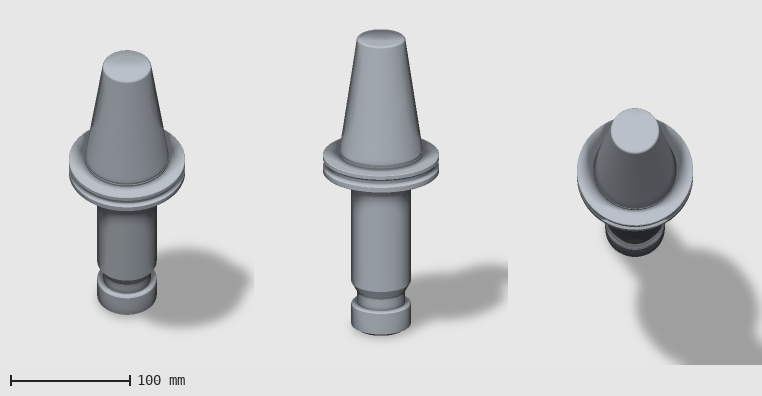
import cadquery as cq

TOTAL_HEIGHT = 261.5
NECK_BOTTOM_Z = 22.8
NECK_TOP_Z = 33.0
FLANGE_BOTTOM_Z = 140.7
FLANGE_TOP_Z = 156.5
GAUGE_Z = 160.5

SHANK_RADIUS = 50.0 / 2
NECK_RADIUS = 40.0 / 2
NECK_CONE_HEIGHT = 8.6
NUT_RADIUS = SHANK_RADIUS
NUT_NOSE_RADIUS = 40.0 / 2
NUT_NOSE_HEIGHT = 3.1
NUT_TOP_CHAMFER = 1.0
SHANK_FILLET = 2.0

FLANGE_RADIUS = 97.5 / 2
FLANGE_CHAMFER = 0.5
GROOVE_RADIUS = 91.0 / 2
GROOVE_CENTER_Z = 149.0
GROOVE_FLOOR_WIDTH = 3.5
GROOVE_MOUTH_WIDTH = 7.3
GROOVE_FLOOR_FILLET = 1.0

TAPER_RATIO = 7 / 24
GAUGE_RADIUS = 69.8 / 2
RELIEF_DEPTH = 0.8
COLLAR_HEIGHT = 1.5
TIP_FILLET = 2.0


def revolve_profile(profile):
    """Revolve a closed (radius, z) profile about the Z axis."""
    return profile.close().revolve(360, (0, 0, 0), (0, 1, 0))


def make_nut_and_shank():
    fillet_start_z = FLANGE_BOTTOM_Z - SHANK_FILLET
    profile = (
        cq.Workplane("XZ")
        .lineTo(NUT_NOSE_RADIUS, 0)
        .lineTo(NUT_RADIUS, NUT_NOSE_HEIGHT)
        .lineTo(NUT_RADIUS, NECK_BOTTOM_Z - NUT_TOP_CHAMFER)
        .lineTo(NUT_RADIUS - NUT_TOP_CHAMFER, NECK_BOTTOM_Z)
        .lineTo(NECK_RADIUS, NECK_BOTTOM_Z)
        .lineTo(NECK_RADIUS, NECK_TOP_Z)
        .lineTo(SHANK_RADIUS, NECK_TOP_Z + NECK_CONE_HEIGHT)
        .lineTo(SHANK_RADIUS, fillet_start_z)
        .radiusArc((SHANK_RADIUS + SHANK_FILLET, FLANGE_BOTTOM_Z), SHANK_FILLET)
        .lineTo(0, FLANGE_BOTTOM_Z)
    )
    return revolve_profile(profile)


def make_flange():
    height = FLANGE_TOP_Z - FLANGE_BOTTOM_Z
    disc = (
        cq.Workplane("XY", origin=(0, 0, FLANGE_BOTTOM_Z))
        .circle(FLANGE_RADIUS)
        .extrude(height)
        .edges()
        .chamfer(FLANGE_CHAMFER)
    )
    half_floor = GROOVE_FLOOR_WIDTH / 2
    half_mouth = GROOVE_MOUTH_WIDTH / 2
    groove = (
        cq.Workplane("XZ")
        .moveTo(GROOVE_RADIUS, GROOVE_CENTER_Z - half_floor)
        .lineTo(FLANGE_RADIUS, GROOVE_CENTER_Z - half_mouth)
        .lineTo(FLANGE_RADIUS, GROOVE_CENTER_Z + half_mouth)
        .lineTo(GROOVE_RADIUS, GROOVE_CENTER_Z + half_floor)
    )
    floor_edges = cq.selectors.RadiusNthSelector(0)
    groove_ring = revolve_profile(groove).edges(floor_edges).fillet(GROOVE_FLOOR_FILLET)
    return disc.cut(groove_ring)


def taper_radius(z):
    return GAUGE_RADIUS - (z - GAUGE_Z) * TAPER_RATIO / 2


def make_taper():
    relief_radius = GAUGE_RADIUS - RELIEF_DEPTH
    collar_top_z = FLANGE_TOP_Z + COLLAR_HEIGHT
    profile = (
        cq.Workplane("XZ")
        .moveTo(0, FLANGE_TOP_Z)
        .lineTo(GAUGE_RADIUS, FLANGE_TOP_Z)
        .lineTo(GAUGE_RADIUS, collar_top_z)
        .lineTo(relief_radius, collar_top_z)
        .lineTo(relief_radius, GAUGE_Z)
        .lineTo(GAUGE_RADIUS, GAUGE_Z)
        .lineTo(taper_radius(TOTAL_HEIGHT), TOTAL_HEIGHT)
        .lineTo(0, TOTAL_HEIGHT)
    )
    return revolve_profile(profile).faces(">Z").edges().fillet(TIP_FILLET)


result = make_nut_and_shank().union(make_flange()).union(make_taper())